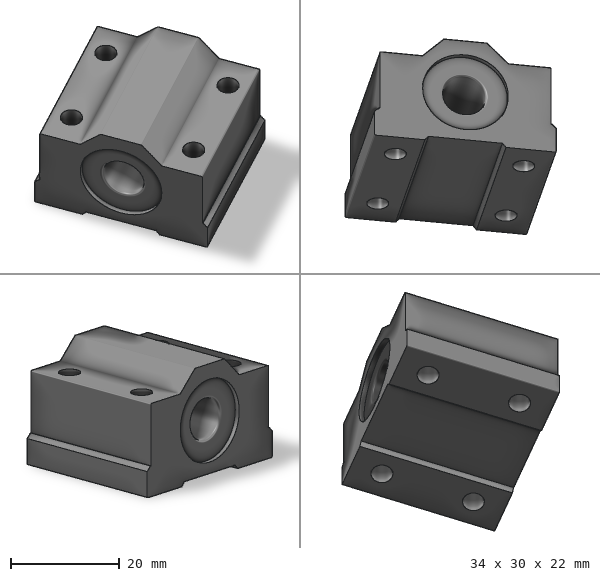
import cadquery as cq

length = 30.0
base_half_width = 17.0
flare_low_z = 5.1
flare_size = 0.9
ledge_z = flare_low_z + flare_size
ledge_half_width = base_half_width - flare_size
wall_half_width = 16.0
shoulder_z = 18.0
top_z = 22.0
ridge_half_width = 4.0
ridge_foot_half_width = ridge_half_width + (top_z - shoulder_z)

groove_depth = 0.8
groove_mouth_half_width = 7.58
groove_roof_half_width = 6.9

corner_radius = 0.3
ridge_radius = 0.2

mount_diameter = 4.0
mount_spacing_x = 24.0
mount_spacing_y = 18.0

axis_z = 11.0
bushing_diameter = 16.0
bushing_bore = 8.0
bushing_recess = 1.0
bushing_length = length - 2 * bushing_recess
bushing_rounding = 0.5


def along_y(sketch_length):
    """Workplane in XZ whose positive extrusion is centred on Y = 0."""
    return cq.Workplane("XZ", origin=(0, sketch_length / 2, 0))


def round_edges(body, places, radius):
    """Round the lengthwise edges at the given (x, z) places and their mirror images."""
    for x, z in places:
        for side in (-1, 1):
            nearest = cq.selectors.NearestToPointSelector((side * x, 0, z))
            body = body.edges("|Y").edges(nearest).fillet(radius)
    return body


def make_profile():
    half_outline = [
        (groove_roof_half_width, groove_depth),
        (groove_mouth_half_width, 0),
        (base_half_width, 0),
        (base_half_width, flare_low_z),
        (ledge_half_width, ledge_z),
        (wall_half_width, ledge_z),
        (wall_half_width, shoulder_z),
        (ridge_foot_half_width, shoulder_z),
        (ridge_half_width, top_z),
    ]
    mirrored = [(-x, z) for x, z in reversed(half_outline)]
    outline = along_y(length).polyline(half_outline + mirrored)
    return outline.close().extrude(length)


def make_housing():
    housing = make_profile()
    corners = [(base_half_width, 0), (wall_half_width, shoulder_z)]
    housing = round_edges(housing, corners, corner_radius)
    ridge_edges = [
        (ridge_foot_half_width, shoulder_z),
        (ridge_half_width, top_z),
    ]
    housing = round_edges(housing, ridge_edges, ridge_radius)

    mount_holes = (
        cq.Workplane("XY")
        .rarray(mount_spacing_x, mount_spacing_y, 2, 2)
        .circle(mount_diameter / 2)
        .extrude(top_z)
    )
    bushing_seat = along_y(length).center(0, axis_z).circle(bushing_diameter / 2).extrude(length)
    return housing.cut(mount_holes).cut(bushing_seat)


def make_bushing():
    bushing = (
        along_y(bushing_length)
        .center(0, axis_z)
        .circle(bushing_diameter / 2)
        .circle(bushing_bore / 2)
        .extrude(bushing_length)
    )
    bore_rims = bushing.faces("<Y or >Y").edges(cq.selectors.RadiusNthSelector(0))
    return bore_rims.fillet(bushing_rounding)


housing = make_housing()
bushing = make_bushing()

result = cq.Compound.makeCompound([housing.val(), bushing.val()])